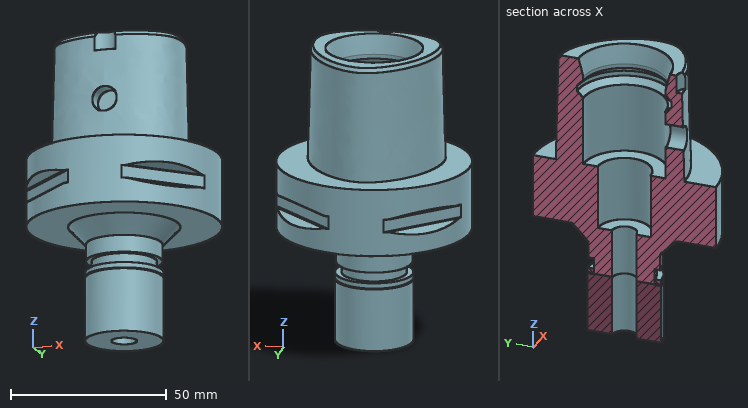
import cadquery as cq
import math

total_height = 98.0
sleeve_top = 20.8
ring_bottom = 21.1
ring_top = 22.8
collar_bottom = 26.4
collar_top = 31.9
flange_bottom = 37.8
flange_top = 60.1

flange_radius = 63.0 / 2
cone_radius = 18.0
collar_radius = 12.3
neck_radius = 10.5
ring_radius = 12.6
sleeve_radius = 12.6

shank_base_radius = 22.1
lobe_height = 1.5
taper_per_height = 1 / 40
shank_bevel_height = 1.5
shank_bevel_inset = 0.8
outline_points = 48

mouth_radius = 15.7
bore_radius = 14.0
mouth_depth = 6.5
lip_depth = 7.9
groove_radius = 16.2
groove_flank = groove_radius - bore_radius
groove_floor_width = 1.8
bore_floor = flange_top
thread_hole_radius = 9.0
thread_hole_floor = flange_bottom
through_hole_radius = 4.1

notch_radius = 4.5
notch_inner_y = -17.9
notch_depth = 6.2
side_hole_radius = 4.1
side_hole_height = 75.5
side_hole_floor_y = -14.3

groove_count = 4
gripper_flat_distance = 27.7
gripper_height = 47.9
gripper_flat_width = 4.2
gripper_step = 0.7
gripper_side_slope = 30


def shank_outline(mean_radius, height):
    """Closed three-lobed wire, starting on the -Y side."""
    points = []
    for i in range(outline_points):
        angle = 2 * math.pi * i / outline_points - math.pi / 2
        support = mean_radius - lobe_height * math.sin(3 * angle)
        slope = -3 * lobe_height * math.cos(3 * angle)
        x = support * math.cos(angle) - slope * math.sin(angle)
        y = support * math.sin(angle) + slope * math.cos(angle)
        points.append(cq.Vector(x, y, height))
    return cq.Wire.assembleEdges([cq.Edge.makeSpline(points, periodic=True)])


def shank():
    bevel_start = total_height - shank_bevel_height
    bevel_radius = shank_base_radius - taper_per_height * (bevel_start - flange_top)
    base = shank_outline(shank_base_radius, flange_top)
    shoulder = shank_outline(bevel_radius, bevel_start)
    top = shank_outline(bevel_radius - shank_bevel_inset, total_height)
    taper = cq.Solid.makeLoft([base, shoulder], True)
    bevel = cq.Solid.makeLoft([shoulder, top], True)
    return cq.Workplane(taper).union(cq.Workplane(bevel))


def turned_body():
    """Flange, flare, collar and the neck that reaches down to the sleeve."""
    profile = [
        (0, sleeve_top),
        (neck_radius, sleeve_top),
        (neck_radius, collar_bottom),
        (collar_radius, collar_bottom),
        (collar_radius, collar_top),
        (cone_radius, flange_bottom),
        (flange_radius, flange_bottom),
        (flange_radius, flange_top),
        (0, flange_top),
    ]
    return cq.Workplane("XZ").polyline(profile).close().revolve(360, (0, 0), (0, 1))


def stepped_bore():
    lip_z = total_height - lip_depth
    groove_top = lip_z - groove_flank
    groove_bottom = groove_top - groove_floor_width
    profile = [
        (0, total_height),
        (mouth_radius, total_height),
        (bore_radius, total_height - mouth_depth),
        (bore_radius, lip_z),
        (groove_radius, groove_top),
        (groove_radius, groove_bottom),
        (bore_radius, groove_bottom - groove_flank),
        (bore_radius, bore_floor),
        (thread_hole_radius, bore_floor),
        (thread_hole_radius, thread_hole_floor),
        (through_hole_radius, thread_hole_floor),
        (through_hole_radius, sleeve_top),
        (0, sleeve_top),
    ]
    return cq.Workplane("XZ").polyline(profile).close().revolve(360, (0, 0), (0, 1))


def key_notch():
    return (
        cq.Workplane("XY", origin=(0, notch_inner_y - notch_radius, total_height - notch_depth))
        .circle(notch_radius)
        .extrude(notch_depth)
    )


def side_hole():
    """Blind hole with a flat floor, drilled along Y."""
    return (
        cq.Workplane("XZ", origin=(0, side_hole_floor_y, side_hole_height))
        .circle(side_hole_radius)
        .extrude(flange_radius)
    )


def gripper_groove(angle):
    """Straight groove with a flat bottom and sides that slope outwards, square to the given direction."""
    half_flat = gripper_flat_width / 2
    slope_start = gripper_flat_distance + gripper_step
    side_rise = (flange_radius - slope_start) * math.tan(math.radians(gripper_side_slope))
    half_mouth = half_flat + side_rise
    profile = [
        (gripper_flat_distance, gripper_height - half_flat),
        (slope_start, gripper_height - half_flat),
        (flange_radius, gripper_height - half_mouth),
        (flange_radius, gripper_height + half_mouth),
        (slope_start, gripper_height + half_flat),
        (gripper_flat_distance, gripper_height + half_flat),
    ]
    bar = cq.Workplane("XZ").polyline(profile).close().extrude(flange_radius, both=True)
    return bar.rotate((0, 0, 0), (0, 0, 1), angle)


def make_holder():
    body = turned_body().union(shank())
    body = body.cut(stepped_bore()).cut(key_notch()).cut(side_hole())
    step = 360 / groove_count
    for i in range(groove_count):
        body = body.cut(gripper_groove(step * (i + 0.5)))
    return body


def make_ring():
    """Flat ring around the neck of the holder."""
    return (
        cq.Workplane("XY", origin=(0, 0, ring_bottom))
        .circle(ring_radius)
        .circle(neck_radius)
        .extrude(ring_top - ring_bottom)
    )


def make_sleeve():
    """Bottom sleeve, butting against the end of the neck."""
    return cq.Workplane("XY").circle(sleeve_radius).circle(through_hole_radius).extrude(sleeve_top)


holder = make_holder()
ring = make_ring()
sleeve = make_sleeve()

result = cq.Compound.makeCompound([holder.val(), ring.val(), sleeve.val()])